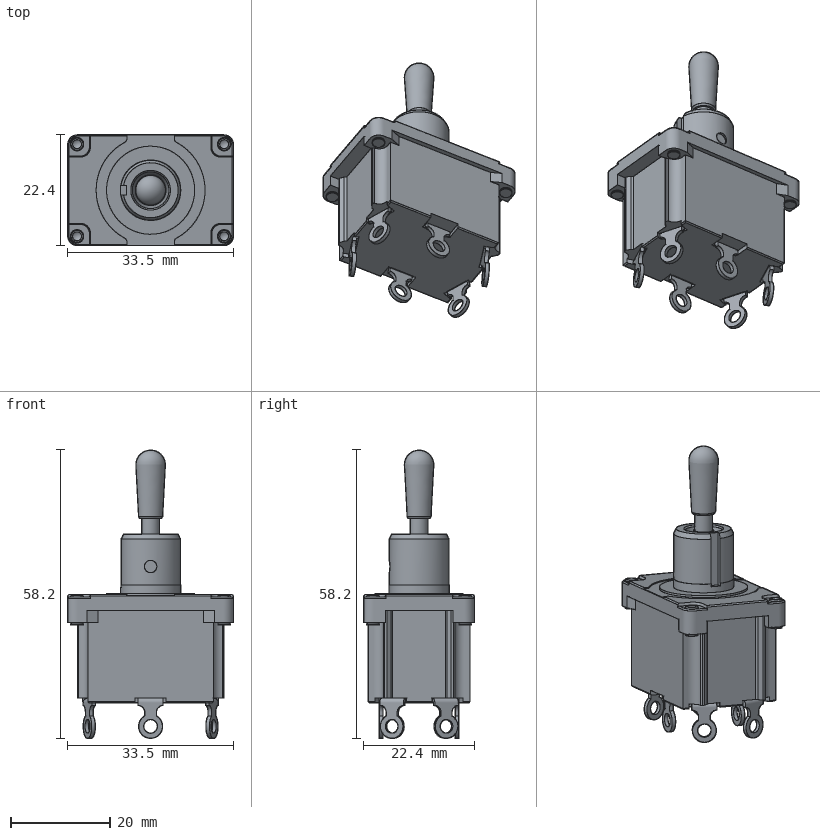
import cadquery as cq
import math


FRAME_X = 33.5
FRAME_Y = 22.4
FRAME_CORNER_R = 2.0
FRAME_EDGE_CHAMFER = 0.28
FRAME_SKIRT_Z = -3.2
FRAME_LEG_Z = -5.7
LEG_FRONT_X = 12.85
LEG_ROOT_X = 10.65
LEG_SIDE_Y = 6.8

LABEL_RECESS_DEPTH = 0.2
LABEL_RECESS_D = 22.0
LABEL_NOTCH_X = 9.6
LABEL_CORNER_R = 0.7

POCKET_X = 4.6
POCKET_Y = 4.5
POCKET_CORNER_R = 2.0
POCKET_DEPTH = 0.55
POCKET_TAPER = 20.0
RIVET_X = 14.85
RIVET_Y = 9.3
RIVET_HEAD_D = 2.7
RIVET_HEAD_TOP_D = 2.4
RIVET_HEAD_HEIGHT = 0.3
RIVET_DISH_D = 1.8
RIVET_DISH_DEPTH = 0.35
RIVET_SHANK_D = 2.4
RIVET_FOOT_D = 2.55
RIVET_FOOT_TOP_Z = -5.95
RIVET_FOOT_Z = -6.2

HOUSING_HALF_X = 12.65
HOUSING_HALF_Y = 10.3
RIB_X = 14.8
END_FACE_X = 13.75
RIB_TIP_Y = 6.95
RIB_TIP_CHAMFER = 0.25
RIB_ROOT_Y = 6.45
RIB_KINK_X = 14.2
RIB_KINK_Y = 5.65
END_FACE_HALF_Y = 5.35
CORNER_COVE_R = RIB_X - RIB_TIP_CHAMFER - HOUSING_HALF_X
HOUSING_BOTTOM_Z = -21.9
RIB_BOTTOM_Z = -21.05
HOUSING_BOTTOM_CHAMFER = 0.25

SEAT_DISC_D = 17.8
SEAT_DISC_TOP_Z = 0.2
COLLAR_D = 12.2
COLLAR_TOP_Z = 1.95
BUSHING_D = 12.1
BUSHING_TOP_Z = 12.2
BUSHING_CHAMFER_R = 0.5
BUSHING_CHAMFER_Z = 1.0
BORE_D = 7.4
BORE_FLOOR_D = 6.2
BORE_MOUTH_D = 8.0
BORE_MOUTH_DEPTH = 0.3
BORE_FLOOR_Z = 9.2
KEYWAY_WIDTH = 2.0
KEYWAY_FLOOR_X = -4.85
KEYWAY_BOTTOM_Z = 1.4
SPOT_D = 2.5
SPOT_Z = 5.65
SPOT_FLOOR_Y = -5.6

LEVER_TOP_Z = 29.15
TIP_R = 3.0
GRIP_BASE_R = 2.45
GRIP_BASE_Z = 15.7
GRIP_CHAMFER_R = 2.2
GRIP_BOTTOM_Z = 15.3
NECK_D = 3.6
NECK_BOTTOM_Z = 11.8
LEVER_FOOT_D = 4.1

LUG_THICKNESS = 0.8
LUG_WIDTH = 5.1
LUG_NECK_WIDTH = 2.4
LUG_BEND_R = 0.95
LUG_TOP_Z = -20.95
LUG_SHOULDER_Z = -22.4
LUG_WAIST_R = 1.4
LUG_EYE_Z = -26.62
LUG_BOTTOM_Z = -29.05
LUG_HOLE_D = 2.7
LUG_TAIL = 2.4
LUG_NOTCH_WIDTH = 6.3
LUG_NOTCH_TOP_Z = -20.9
LUG_NOTCH_BACK = 1.2
LUG_NOTCH_FRONT = 4.0
CENTER_LUG_Y = 8.05
END_LUG_X = 12.75
END_LUG_Y = 5.55
END_LUG_ANGLE = 21.0

QUADRANTS = [(sx, sy) for sx in (-1, 1) for sy in (-1, 1)]


def block(x0, x1, y0, y1, z0, z1):
    """Axis-aligned box between two corners, given in any order."""
    center = ((x0 + x1) / 2, (y0 + y1) / 2, (z0 + z1) / 2)
    return cq.Workplane("XY").box(abs(x1 - x0), abs(y1 - y0), abs(z1 - z0)).translate(center)


def revolved(points):
    """Solid turned from an (r, z) outline about the Z axis."""
    return cq.Workplane("XZ").polyline(points).close().revolve(360, (0, 0), (0, 1))


def corner_pocket(sx, sy):
    """Cutter for one corner: a tapered pocket that also lowers and chamfers the plate rim."""
    reach = FRAME_CORNER_R + POCKET_CORNER_R
    size_x = POCKET_X + reach
    size_y = POCKET_Y + reach
    center_x = sx * (FRAME_X / 2 - POCKET_X + size_x / 2)
    center_y = sy * (FRAME_Y / 2 - POCKET_Y + size_y / 2)
    opening = cq.Sketch().rect(size_x, size_y).vertices().fillet(POCKET_CORNER_R)
    opening = cq.Workplane("XY").placeSketch(opening).extrude(-POCKET_DEPTH, taper=POCKET_TAPER)
    opening = opening.translate((center_x, center_y, 0))

    lowered_plate = (
        block(-FRAME_X / 2, FRAME_X / 2, -FRAME_Y / 2, FRAME_Y / 2, FRAME_LEG_Z, -POCKET_DEPTH)
        .edges("|Z")
        .fillet(FRAME_CORNER_R)
        .faces(">Z")
        .chamfer(FRAME_EDGE_CHAMFER)
    )
    rim = block(
        sx * FRAME_X, sx * (FRAME_X / 2 - POCKET_X), sy * FRAME_Y, sy * (FRAME_Y / 2 - POCKET_Y),
        -POCKET_DEPTH - FRAME_EDGE_CHAMFER, -POCKET_DEPTH,
    )
    return opening.union(rim.cut(lowered_plate))


def label_recess():
    """Shallow round recess, open to both long edges, between the two raised label pads."""
    radius = LABEL_RECESS_D / 2
    notch_half = LABEL_NOTCH_X / 2
    meet_y = math.sqrt(radius**2 - notch_half**2)
    end_y = FRAME_Y
    return (
        cq.Workplane("XY")
        .moveTo(-notch_half, end_y)
        .lineTo(notch_half, end_y)
        .lineTo(notch_half, meet_y)
        .threePointArc((radius, 0), (notch_half, -meet_y))
        .lineTo(notch_half, -end_y)
        .lineTo(-notch_half, -end_y)
        .lineTo(-notch_half, -meet_y)
        .threePointArc((-radius, 0), (-notch_half, meet_y))
        .close()
        .extrude(-LABEL_RECESS_DEPTH)
        .edges(cq.selectors.BoxSelector((-radius, -radius, -radius), (radius, radius, radius)))
        .edges("|Z")
        .fillet(LABEL_CORNER_R)
    )


def frame():
    """Cover plate with four corner legs hanging below its skirt."""
    body = (
        block(-FRAME_X / 2, FRAME_X / 2, -FRAME_Y / 2, FRAME_Y / 2, FRAME_LEG_Z, 0)
        .edges("|Z")
        .fillet(FRAME_CORNER_R)
    )
    body = body.faces(">Z").chamfer(FRAME_EDGE_CHAMFER)
    for sx, sy in QUADRANTS:
        body = body.cut(corner_pocket(sx, sy))

    half_y = FRAME_Y / 2
    for side in (-1, 1):
        long_opening = (
            cq.Workplane("XY")
            .workplane(offset=FRAME_LEG_Z)
            .polyline([
                (-LEG_FRONT_X, side * half_y),
                (LEG_FRONT_X, side * half_y),
                (LEG_ROOT_X, side * HOUSING_HALF_Y),
                (-LEG_ROOT_X, side * HOUSING_HALF_Y),
            ])
            .close()
            .extrude(FRAME_SKIRT_Z - FRAME_LEG_Z)
        )
        short_opening = block(
            side * FRAME_X / 2, side * END_FACE_X, -LEG_SIDE_Y, LEG_SIDE_Y, FRAME_LEG_Z, FRAME_SKIRT_Z
        )
        body = body.cut(long_opening).cut(short_opening)
    return body.cut(label_recess())


def housing_profile():
    """Housing cross-section: coved corners, and end ribs flanking a recessed end face."""
    cove_x = HOUSING_HALF_X + CORNER_COVE_R
    cove_y = RIB_TIP_Y + RIB_TIP_CHAMFER + CORNER_COVE_R
    cove_mid = CORNER_COVE_R * math.sqrt(0.5)
    quarter = (
        cq.Workplane("XY")
        .moveTo(0, 0)
        .lineTo(END_FACE_X, 0)
        .lineTo(END_FACE_X, END_FACE_HALF_Y)
        .lineTo(RIB_KINK_X, RIB_KINK_Y)
        .lineTo(RIB_X, RIB_ROOT_Y)
        .lineTo(RIB_X, RIB_TIP_Y)
        .lineTo(cove_x, cove_y - CORNER_COVE_R)
        .threePointArc((cove_x - cove_mid, cove_y - cove_mid), (HOUSING_HALF_X, cove_y))
        .lineTo(HOUSING_HALF_X, HOUSING_HALF_Y)
        .lineTo(0, HOUSING_HALF_Y)
        .close()
        .extrude(HOUSING_BOTTOM_Z)
    )
    half = quarter.union(quarter.mirror("YZ"))
    return half.union(half.mirror("XZ")).clean()


def housing():
    """Housing block; the ribs stop short of the chamfered bottom."""
    profile = housing_profile()
    core_limits = block(-END_FACE_X, END_FACE_X, -FRAME_Y, FRAME_Y, HOUSING_BOTTOM_Z, 0)
    core = profile.intersect(core_limits).faces("<Z").chamfer(HOUSING_BOTTOM_CHAMFER)
    ribbed = profile.intersect(block(-FRAME_X, FRAME_X, -FRAME_Y, FRAME_Y, RIB_BOTTOM_Z, 0))
    body = core.union(ribbed)
    return body.cut(block(-FRAME_X, FRAME_X, -FRAME_Y, FRAME_Y, FRAME_SKIRT_Z / 2, 0))


def rivet():
    """Corner rivet with a flanged foot under the frame leg, and the cutter for its dished head."""
    floor_z = -POCKET_DEPTH
    head_z = floor_z + RIVET_HEAD_HEIGHT
    outline = [
        (0, RIVET_FOOT_Z),
        (RIVET_FOOT_D / 2, RIVET_FOOT_Z),
        (RIVET_FOOT_D / 2, RIVET_FOOT_TOP_Z),
        (RIVET_SHANK_D / 2, RIVET_FOOT_TOP_Z),
        (RIVET_SHANK_D / 2, floor_z),
        (RIVET_HEAD_D / 2, floor_z),
        (RIVET_HEAD_TOP_D / 2, head_z),
        (0, head_z),
    ]
    dish_half = RIVET_DISH_D / 2
    dish_r = (dish_half**2 + RIVET_DISH_DEPTH**2) / (2 * RIVET_DISH_DEPTH)
    dish = cq.Workplane("XY").sphere(dish_r).translate((0, 0, head_z - RIVET_DISH_DEPTH + dish_r))
    return revolved(outline), dish


def bushing():
    """Seat disc, collar and bored barrel with a keyway on -X and a spot recess on -Y."""
    barrel_r = BUSHING_D / 2
    body = revolved([
        (0, -LABEL_RECESS_DEPTH),
        (SEAT_DISC_D / 2, -LABEL_RECESS_DEPTH),
        (SEAT_DISC_D / 2, SEAT_DISC_TOP_Z),
        (COLLAR_D / 2, SEAT_DISC_TOP_Z),
        (COLLAR_D / 2, COLLAR_TOP_Z),
        (barrel_r, COLLAR_TOP_Z),
        (barrel_r, BUSHING_TOP_Z - BUSHING_CHAMFER_Z),
        (barrel_r - BUSHING_CHAMFER_R, BUSHING_TOP_Z),
        (BORE_MOUTH_D / 2, BUSHING_TOP_Z),
        (BORE_D / 2, BUSHING_TOP_Z - BORE_MOUTH_DEPTH),
        (BORE_FLOOR_D / 2, BORE_FLOOR_Z),
        (0, BORE_FLOOR_Z),
    ])
    keyway = block(
        -COLLAR_D, KEYWAY_FLOOR_X, -KEYWAY_WIDTH / 2, KEYWAY_WIDTH / 2, KEYWAY_BOTTOM_Z, BUSHING_TOP_Z
    )
    spot = (
        cq.Workplane("XZ", origin=(0, SPOT_FLOOR_Y, SPOT_Z))
        .circle(SPOT_D / 2)
        .extrude(COLLAR_D / 2)
    )
    return body.cut(keyway).cut(spot)


def lever():
    """Tapered grip with a domed tip, on a neck that widens inside the bore."""
    tip_center_z = LEVER_TOP_Z - TIP_R
    tip_mid = TIP_R * math.sqrt(0.5)
    return (
        cq.Workplane("XZ")
        .moveTo(0, BORE_FLOOR_Z)
        .lineTo(LEVER_FOOT_D / 2, BORE_FLOOR_Z)
        .lineTo(LEVER_FOOT_D / 2, NECK_BOTTOM_Z)
        .lineTo(NECK_D / 2, NECK_BOTTOM_Z)
        .lineTo(NECK_D / 2, GRIP_BOTTOM_Z)
        .lineTo(GRIP_CHAMFER_R, GRIP_BOTTOM_Z)
        .lineTo(GRIP_BASE_R, GRIP_BASE_Z)
        .lineTo(TIP_R, tip_center_z)
        .threePointArc((tip_mid, tip_center_z + tip_mid), (0, LEVER_TOP_Z))
        .close()
        .revolve(360, (0, 0), (0, 1))
    )


def lug():
    """Bent solder lug: outer face in the plane Y = 0 facing -Y, tail running back to +Y."""
    inner_bend_r = LUG_BEND_R - LUG_THICKNESS
    bend_z = LUG_TOP_Z - LUG_BEND_R
    bend_mid = math.sqrt(0.5)
    strip = (
        cq.Workplane("YZ")
        .moveTo(LUG_TAIL, LUG_TOP_Z)
        .lineTo(LUG_BEND_R, LUG_TOP_Z)
        .threePointArc(
            (LUG_BEND_R * (1 - bend_mid), bend_z + LUG_BEND_R * bend_mid), (0, bend_z)
        )
        .lineTo(0, LUG_BOTTOM_Z)
        .lineTo(LUG_THICKNESS, LUG_BOTTOM_Z)
        .lineTo(LUG_THICKNESS, bend_z)
        .threePointArc(
            (LUG_BEND_R - inner_bend_r * bend_mid, bend_z + inner_bend_r * bend_mid),
            (LUG_BEND_R, bend_z + inner_bend_r),
        )
        .lineTo(LUG_TAIL, LUG_TOP_Z - LUG_THICKNESS)
        .close()
        .extrude(LUG_WIDTH / 2, both=True)
    )

    shoulder = LUG_WIDTH / 2
    neck = LUG_NECK_WIDTH / 2
    waist_z = LUG_SHOULDER_Z - LUG_WAIST_R
    waist_mid = LUG_WAIST_R * math.sqrt(0.5)
    flank_x = neck + LUG_WAIST_R
    outline = (
        cq.Workplane("XZ")
        .moveTo(-shoulder, LUG_TOP_Z)
        .lineTo(shoulder, LUG_TOP_Z)
        .lineTo(shoulder, LUG_SHOULDER_Z)
        .lineTo(flank_x, LUG_SHOULDER_Z)
        .threePointArc((flank_x - waist_mid, waist_z + waist_mid), (neck, waist_z))
        .lineTo(neck, LUG_EYE_Z)
        .lineTo(-neck, LUG_EYE_Z)
        .lineTo(-neck, waist_z)
        .threePointArc((-flank_x + waist_mid, waist_z + waist_mid), (-flank_x, LUG_SHOULDER_Z))
        .lineTo(-shoulder, LUG_SHOULDER_Z)
        .close()
        .extrude(-LUG_TAIL)
    )
    eye_plane = cq.Workplane("XZ", origin=(0, 0, LUG_EYE_Z))
    eye = eye_plane.circle(LUG_EYE_Z - LUG_BOTTOM_Z).extrude(-LUG_TAIL)
    hole = eye_plane.circle(LUG_HOLE_D / 2).extrude(-LUG_TAIL)
    return strip.intersect(outline.union(eye)).cut(hole)


def lug_notch():
    """Clearance in the housing bottom edge around one lug, in the same position as lug()."""
    half = LUG_NOTCH_WIDTH / 2
    return block(-half, half, -LUG_NOTCH_FRONT, LUG_NOTCH_BACK, HOUSING_BOTTOM_Z, LUG_NOTCH_TOP_Z)


def at_lug_places(shape):
    """Copies of a shape at the two center and four angled end lug positions."""
    copies = []
    for side in (-1, 1):
        turn = 0 if side < 0 else 180
        placed = shape.rotate((0, 0, 0), (0, 0, 1), turn)
        copies.append(placed.translate((0, side * CENTER_LUG_Y, 0)))
    for sx, sy in QUADRANTS:
        turn = sx * (90 + sy * END_LUG_ANGLE)
        placed = shape.rotate((0, 0, 0), (0, 0, 1), turn)
        copies.append(placed.translate((sx * END_LUG_X, sy * END_LUG_Y, 0)))
    return copies


def switch():
    base = housing()
    for notch in at_lug_places(lug_notch()):
        base = base.cut(notch)
    for terminal in at_lug_places(lug()):
        base = base.union(terminal)
    body = base.union(frame()).union(bushing()).union(lever())
    pin, dish = rivet()
    for sx, sy in QUADRANTS:
        place = (sx * RIVET_X, sy * RIVET_Y, 0)
        body = body.union(pin.translate(place)).cut(dish.translate(place))
    return body


result = switch()